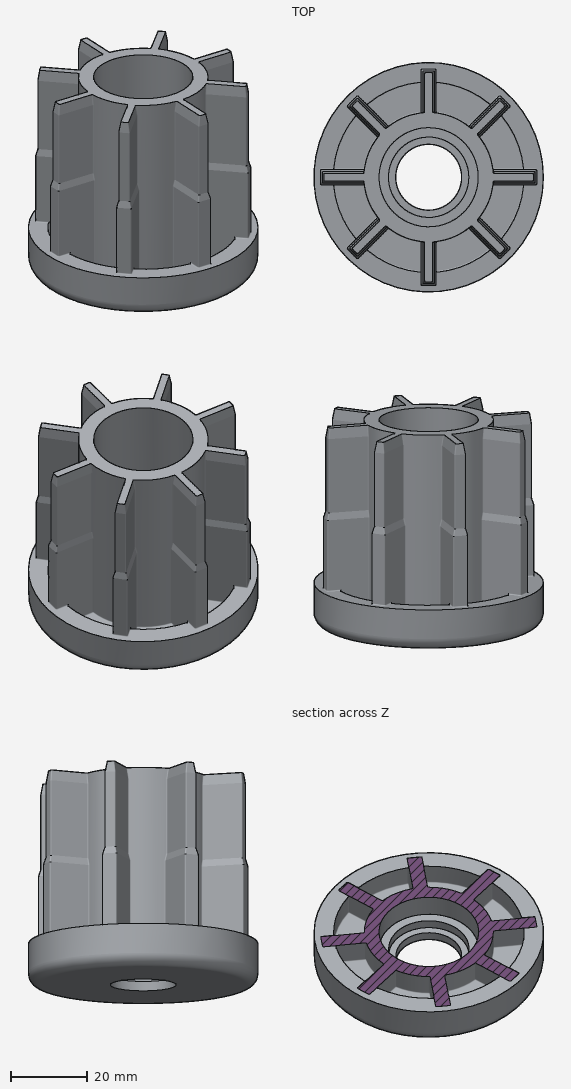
import cadquery as cq
import math

base_radius = 30.15
base_height = 11.0
base_bottom_fillet = 3.0
cup_radius = 25.0
floor_thickness = 5.0

total_height = 55.0
tube_radius = 17.0
bore_radius = 13.0
seat_radius = 10.55
hole_radius = 8.6
bore_floor = floor_thickness
seat_floor = bore_floor / 2

rib_count = 8
rib_foot = floor_thickness / 2
rib_root_radius = (bore_radius + tube_radius) / 2
step_bottom = 30.2
step_top = 32.1
taper_bottom = 52.05
lower_tip_radius = 28.4
lower_thickness = 4.0
step_inset = 0.5
upper_tip_radius = lower_tip_radius - step_inset
upper_thickness = lower_thickness - 2 * step_inset
top_tip_radius = 27.5
top_thickness = 2.05

edge_fillet = 0.3
tolerance = 0.005

rib_levels = [
    (rib_foot, lower_tip_radius, lower_thickness),
    (step_bottom, lower_tip_radius, lower_thickness),
    (step_top, upper_tip_radius, upper_thickness),
    (taper_bottom, upper_tip_radius, upper_thickness),
    (total_height, top_tip_radius, top_thickness),
]


def cylinder(radius, bottom, top):
    return cq.Workplane("XY", origin=(0, 0, bottom)).circle(radius).extrude(top - bottom)


def make_base():
    base = cylinder(base_radius, 0, base_height)
    base = base.faces("<Z").edges().fillet(base_bottom_fillet)
    return base.cut(cylinder(cup_radius, floor_thickness, base_height))


def rib_section(height, tip_radius, thickness):
    """Closed wire of the rib cut level: square inside the tube wall, rounded corners at the tip."""
    side = thickness / 2
    flat = side - edge_fillet
    round_start = tip_radius - edge_fillet
    diagonal = edge_fillet * math.sqrt(0.5)
    outline = (
        cq.Workplane("XY", origin=(0, 0, height))
        .moveTo(rib_root_radius, -side)
        .lineTo(round_start, -side)
        .threePointArc((round_start + diagonal, -flat - diagonal), (tip_radius, -flat))
        .lineTo(tip_radius, flat)
        .threePointArc((round_start + diagonal, flat + diagonal), (round_start, side))
        .lineTo(rib_root_radius, side)
        .close()
    )
    return outline.val()


def make_rib():
    """Rib along +X, running straight from each level to the next."""
    sections = [rib_section(*level) for level in rib_levels]
    return cq.Workplane(cq.Solid.makeLoft(sections, ruled=True))


def radius_of(point):
    """Distance of a point from the central axis."""
    return math.hypot(point.x, point.y)


def is_level_at(edge, height):
    box = edge.BoundingBox()
    return abs(box.zmin - height) < tolerance and abs(box.zmax - height) < tolerance


def is_rib_root(edge):
    """Rising edge where a rib side meets the tube."""
    box = edge.BoundingBox()
    outermost = max(radius_of(vertex.Center()) for vertex in edge.Vertices())
    return box.zmax - box.zmin > tolerance and outermost < tube_radius + tolerance


def is_base_corner(edge):
    """Edge where ribs or walls meet the cup floor, the cup wall or the rim top."""
    box = edge.BoundingBox()
    radius = radius_of(edge.Center())
    on_floor = is_level_at(edge, floor_thickness)
    on_rim = (
        is_level_at(edge, base_height)
        and cup_radius + edge_fillet < radius < base_radius - edge_fillet
    )
    on_cup_wall = (
        abs(radius - cup_radius) < tolerance
        and abs(box.zmin - floor_thickness) < tolerance
        and abs(box.zmax - base_height) < tolerance
    )
    return on_floor or on_rim or on_cup_wall


def make_ribbed_tube():
    tube = cylinder(tube_radius, rib_foot, total_height)
    rib = make_rib()
    for index in range(rib_count):
        tube = tube.union(rib.rotate((0, 0, 0), (0, 0, 1), index * 360 / rib_count))
    return tube.edges().filter(is_rib_root).fillet(edge_fillet)


body = make_base().union(make_ribbed_tube())
body = body.edges().filter(is_base_corner).fillet(edge_fillet)

body = body.cut(cylinder(bore_radius, bore_floor, total_height))
body = body.cut(cylinder(seat_radius, seat_floor, bore_floor))
result = body.cut(cylinder(hole_radius, 0, seat_floor))